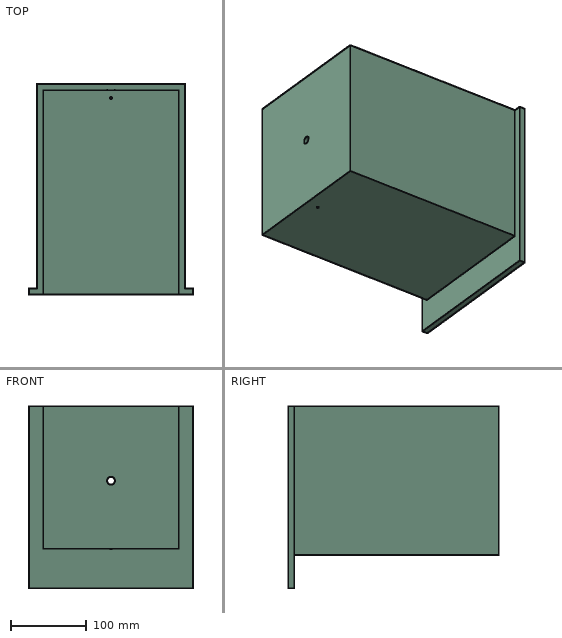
import cadquery as cq

plate_width = 218.0
length = 280.0
height = 242.0

wall = 8.5
floor = 8.5
inner_width = 180.3
plate_drop = 44.0
plate_thickness = 8.5

back_hole_diameter = 10.0
back_hole_depth_from_top = 99.0
floor_hole_diameter = 2.5
floor_hole_from_back = 19.0

box_width = inner_width + 2 * wall
floor_top = plate_drop + floor


def centered_block(width, y_start, y_end, z_start, z_end):
    """Block centred on X between the given Y and Z limits."""
    return (
        cq.Workplane("XY")
        .box(width, y_end - y_start, z_end - z_start, centered=(True, False, False))
        .translate((0, y_start, z_start))
    )


body = centered_block(box_width, 0, length, plate_drop, height)
front_plate = centered_block(plate_width, 0, plate_thickness, 0, height)

cavity = centered_block(inner_width, 0, length - wall, floor_top, height)

back_hole = cq.Workplane("XY").circle(back_hole_diameter / 2).extrude(wall)
back_hole = back_hole.rotate((0, 0, 0), (1, 0, 0), -90)
back_hole = back_hole.translate((0, length - wall, height - back_hole_depth_from_top))

floor_hole = (
    cq.Workplane("XY")
    .center(0, length - floor_hole_from_back)
    .circle(floor_hole_diameter / 2)
    .extrude(floor)
    .translate((0, 0, plate_drop))
)

result = body.union(front_plate).cut(cavity).cut(back_hole).cut(floor_hole)